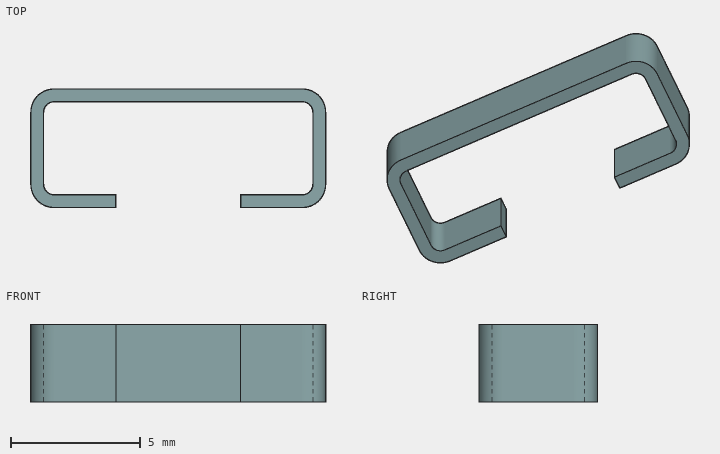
import cadquery as cq

length = 11.35
depth = 4.57
height = 3.0

wall = 0.5
inner_radius = 0.4
outer_radius = inner_radius + wall

gap = 4.8


def rounded_block(size_x, size_y, corner_radius):
    """Block centred in X and Y, standing on Z = 0, with rounded upright corners."""
    block = cq.Workplane("XY").box(size_x, size_y, height, centered=(True, True, False))
    return block.edges("|Z").fillet(corner_radius)


def closed_ring():
    """Strip bent into a full rounded rectangle."""
    outside = rounded_block(length, depth, outer_radius)
    inside = rounded_block(length - 2 * wall, depth - 2 * wall, inner_radius)
    return outside.cut(inside)


def lip_opening():
    """Block that removes the middle of the -Y wall."""
    wall_centre_y = -(depth - wall) / 2
    opening = cq.Workplane("XY").box(gap, 2 * wall, height, centered=(True, True, False))
    return opening.translate((0, wall_centre_y, 0))


result = closed_ring().cut(lip_opening())